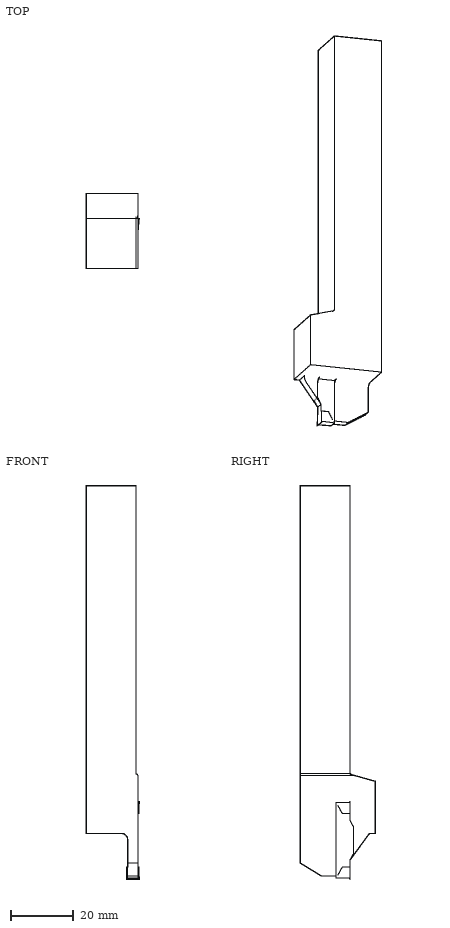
import cadquery as cq

LENGTH = 126.4

SHANK_SIZE = 16.0

HEAD_DEPTH = 24.1
HEAD_WIDTH = 16.7
HEAD_BOTTOM = 14.7
HEAD_EDGE_TOP = 31.5
HEAD_ROOT_TOP = 33.7
HEAD_ROOT_RADIUS = 0.6
SIDE_STEP_TOP = 34.0

BLADE_LEFT = 13.3
BLADE_BOTTOM = 1.0
BLADE_ROOT_RADIUS = 1.9
BLADE_UPPER_Y = 22.2
BLADE_CHAMFER_Y = 6.8
BLADE_CHAMFER_Z = 5.2

INSERT_LENGTH = 25.0
INSERT_BOTTOM_Y = 11.5
INSERT_TOP_Y = 17.2
EDGE_Y = SHANK_SIZE
RAMP_START = 6.2
RAMP_END = 8.3
END_LAND_Z = 0.4
EDGE_LIP_DEPTH = 0.4

FLARE = 0.4
FLARE_BACK = 0.3
FLARE_LENGTH = 3.9
FLARE_BOTTOM_Y = 12.1
FLARE_CORNER_Y = 13.5
FLARE_CORNER_Z = 1.4


def prism_along_x(points, x_start, x_end):
    """Extrude an outline of (y, z) points from x_start to x_end."""
    return cq.Workplane("YZ", origin=(x_start, 0, 0)).polyline(points).close().extrude(x_end - x_start)


def make_shank_and_head():
    shank = cq.Workplane("XY").box(SHANK_SIZE, SHANK_SIZE, LENGTH - HEAD_BOTTOM, centered=False)
    shank = shank.translate((0, 0, HEAD_BOTTOM))
    head = prism_along_x(
        [
            (0, HEAD_BOTTOM),
            (HEAD_DEPTH, HEAD_BOTTOM),
            (HEAD_DEPTH, HEAD_EDGE_TOP),
            (SHANK_SIZE, HEAD_ROOT_TOP),
            (0, HEAD_ROOT_TOP),
        ],
        0,
        SHANK_SIZE,
    )
    body = shank.union(head)
    root = cq.selectors.BoxSelector(
        (-1.3, SHANK_SIZE - 0.1, HEAD_ROOT_TOP - 0.1),
        (SHANK_SIZE + 1.3, SHANK_SIZE + 0.1, HEAD_ROOT_TOP + 0.1),
    )
    return body.edges(root).fillet(HEAD_ROOT_RADIUS)


def make_side_pad():
    """Layer that widens the head on +X, with a 45 degree lead-in at its top."""
    step = HEAD_WIDTH - SHANK_SIZE
    pad = (
        cq.Workplane("XZ")
        .polyline(
            [
                (SHANK_SIZE, HEAD_BOTTOM),
                (HEAD_WIDTH, HEAD_BOTTOM),
                (HEAD_WIDTH, SIDE_STEP_TOP - step),
                (SHANK_SIZE, SIDE_STEP_TOP),
            ]
        )
        .close()
        .extrude(-HEAD_DEPTH)
    )
    outline = prism_along_x(
        [
            (0, HEAD_BOTTOM),
            (HEAD_DEPTH, HEAD_BOTTOM),
            (HEAD_DEPTH, HEAD_EDGE_TOP),
            (SHANK_SIZE, HEAD_ROOT_TOP),
            (SHANK_SIZE, SIDE_STEP_TOP),
            (0, SIDE_STEP_TOP),
        ],
        SHANK_SIZE,
        HEAD_WIDTH,
    )
    return pad.intersect(outline)


def make_blade():
    """Blade with a concave root fillet under the head."""
    section = (
        cq.Workplane("XZ")
        .moveTo(BLADE_LEFT, BLADE_BOTTOM)
        .lineTo(HEAD_WIDTH, BLADE_BOTTOM)
        .lineTo(HEAD_WIDTH, HEAD_BOTTOM)
        .lineTo(BLADE_LEFT - BLADE_ROOT_RADIUS, HEAD_BOTTOM)
        .radiusArc((BLADE_LEFT, HEAD_BOTTOM - BLADE_ROOT_RADIUS), BLADE_ROOT_RADIUS)
        .close()
        .extrude(-HEAD_DEPTH)
    )
    outline = prism_along_x(
        [
            (0, HEAD_BOTTOM),
            (0, BLADE_CHAMFER_Z),
            (BLADE_CHAMFER_Y, BLADE_BOTTOM),
            (INSERT_BOTTOM_Y, BLADE_BOTTOM),
            (EDGE_Y, RAMP_START),
            (BLADE_UPPER_Y, HEAD_BOTTOM),
        ],
        0,
        HEAD_WIDTH,
    )
    return section.intersect(outline)


def flare_section(flare):
    """Trapezoid of (x, y) points, wider than the insert by flare on each side at EDGE_Y."""
    return [
        (BLADE_LEFT, FLARE_BOTTOM_Y),
        (HEAD_WIDTH, FLARE_BOTTOM_Y),
        (HEAD_WIDTH + flare, EDGE_Y),
        (BLADE_LEFT - flare, EDGE_Y),
    ]


def make_flared_end():
    """Both flared flanks at the lower cutting edge, tapering towards -Y and up the insert."""
    wedge = (
        cq.Workplane("XY")
        .polyline(flare_section(FLARE))
        .close()
        .workplane(offset=FLARE_LENGTH)
        .polyline(flare_section(FLARE_BACK))
        .close()
        .loft(ruled=True)
    )
    outline = prism_along_x(
        [
            (EDGE_Y, 0),
            (EDGE_Y, FLARE_LENGTH),
            (FLARE_CORNER_Y, FLARE_LENGTH),
            (FLARE_BOTTOM_Y, FLARE_CORNER_Z),
            (FLARE_BOTTOM_Y, END_LAND_Z),
            (EDGE_Y - EDGE_LIP_DEPTH, END_LAND_Z),
        ],
        BLADE_LEFT - FLARE,
        HEAD_WIDTH + FLARE,
    )
    return wedge.intersect(outline)


def make_insert():
    middle = INSERT_LENGTH / 2
    half = prism_along_x(
        [
            (INSERT_BOTTOM_Y, END_LAND_Z),
            (EDGE_Y - EDGE_LIP_DEPTH, END_LAND_Z),
            (EDGE_Y, 0),
            (EDGE_Y, RAMP_START),
            (INSERT_TOP_Y, RAMP_END),
            (INSERT_TOP_Y, middle),
            (INSERT_BOTTOM_Y, middle),
        ],
        BLADE_LEFT,
        HEAD_WIDTH,
    ).union(make_flared_end())
    return half.union(half.mirror("XY", (0, 0, middle))).clean()


def make_insert_relief():
    """Slot through the root fillet that exposes the insert's -X flank."""
    return cq.Workplane("XY").box(
        BLADE_ROOT_RADIUS, INSERT_TOP_Y - INSERT_BOTTOM_Y, BLADE_ROOT_RADIUS, centered=False
    ).translate((BLADE_LEFT - BLADE_ROOT_RADIUS, INSERT_BOTTOM_Y, HEAD_BOTTOM - BLADE_ROOT_RADIUS))


insert = make_insert()
holder = make_shank_and_head().union(make_side_pad()).union(make_blade())
holder = holder.cut(make_insert_relief()).cut(insert)

result = cq.Compound.makeCompound([holder.solids().val(), insert.solids().val()])